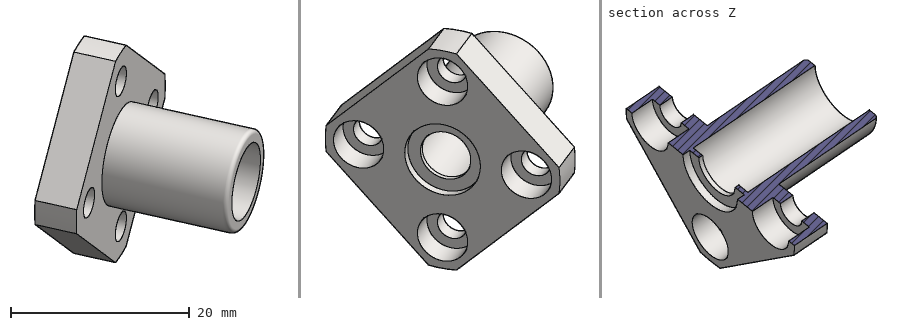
import cadquery as cq

flange_diameter = 27.98
flange_width = 22.0
flange_thickness = 5.0

total_length = 20.0
barrel_diameter = 11.98
barrel_end_round = 0.5

bore_diameter = 9.0
lip_diameter = 6.0
lip_start = 1.0
lip_thickness = 0.6

bolt_circle_diameter = 20.0
bolt_hole_diameter = 3.5
counterbore_diameter = 6.0
counterbore_depth = 3.1


def make_flange():
    """Disc intersected with a square standing on its corner."""
    disc = cq.Workplane("YZ").circle(flange_diameter / 2).extrude(flange_thickness)
    square = (
        cq.Workplane("YZ")
        .transformed(rotate=(0, 0, 45))
        .rect(flange_width, flange_width)
        .extrude(flange_thickness)
    )
    return disc.intersect(square)


def make_barrel():
    """Barrel with a rounded free end."""
    barrel = cq.Workplane("YZ").circle(barrel_diameter / 2).extrude(total_length)
    return barrel.faces(">X").edges().fillet(barrel_end_round)


def cut_bore(body):
    """Through bore with an inward lip left standing near the flange face."""
    bore = cq.Workplane("YZ").circle(bore_diameter / 2).extrude(total_length)
    lip = (
        cq.Workplane("YZ")
        .workplane(offset=lip_start)
        .circle(bore_diameter / 2)
        .circle(lip_diameter / 2)
        .extrude(lip_thickness)
    )
    return body.cut(bore.cut(lip))


def cut_mounting_holes(body):
    """Four counterbored holes, open to the flange face."""
    centers = cq.Workplane("YZ").polarArray(bolt_circle_diameter / 2, 0, 360, 4)
    holes = centers.circle(bolt_hole_diameter / 2).extrude(flange_thickness)
    counterbores = centers.circle(counterbore_diameter / 2).extrude(counterbore_depth)
    return body.cut(holes).cut(counterbores)


result = cut_mounting_holes(cut_bore(make_flange().union(make_barrel())))